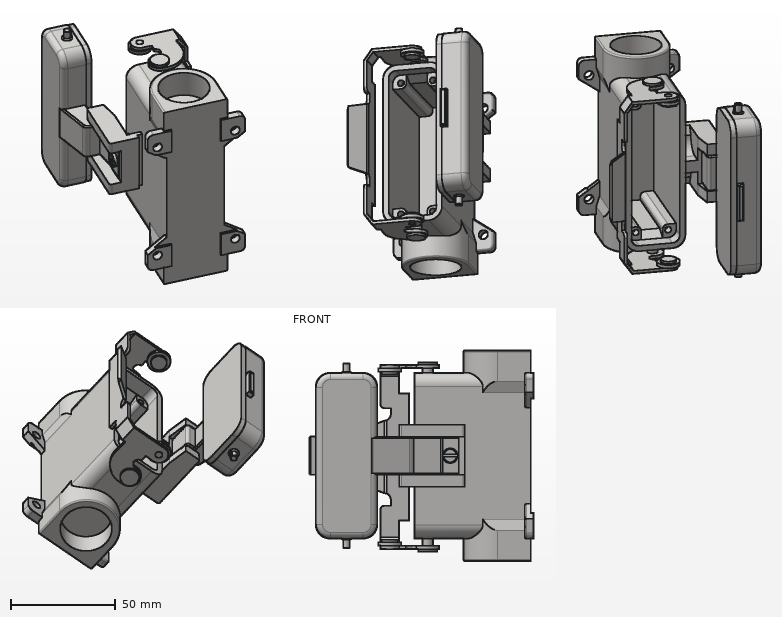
import cadquery as cq
import math


HOUSING_LENGTH = 55.8
HOUSING_HALF_Y = 14.7
HOUSING_HALF_Z = 39.7
HOUSING_CORNER_R = 6.5

MOUTH_WALL = 2.8
MOUTH_HALF_Y = HOUSING_HALF_Y - MOUTH_WALL
MOUTH_HALF_Z = HOUSING_HALF_Z - MOUTH_WALL
MOUTH_CORNER_R = HOUSING_CORNER_R - MOUTH_WALL
CAVITY_DEPTH = 52.6
CAVITY_FLOOR_HALF_Z = 34.2
BOSS_RECESS = 7.5
CAVITY_SLOPE_LENGTH = 5.9
SCREW_BOSS_Y = 6.7
SCREW_BOSS_Z = 6.9
SCREW_BOSS_R = 2.6
SCREW_HOLE_D = 3.0
SCREW_HOLE_DEPTH = 16.1
SCREW_HOLE_Y = 8.0
SCREW_HOLE_Z = 33.0

ENTRY_X = -16.0
ENTRY_R = 16.3
ENTRY_TOP_Z = 50.5
ENTRY_FOOT_Z = 30.4
ENTRY_SLOPE_TOP_Z = 35.7
ENTRY_RIM_R = 0.8
ENTRY_BORE_D = 24.7
ENTRY_BORE_DEPTH = 13.1

FOOT_FRONT_X = -2.9
FOOT_BACK_X = 1.3
FOOT_OUTER_Y = 24.9
FOOT_SIDE_Z = 30.3
FOOT_ROOT_Z = 23.1
FOOT_CORNER_R = 2.8
FOOT_EDGE_R = 0.8
FOOT_PAD_INNER_Y = 12.6
FOOT_PAD_LOW_Z = 27.4
FOOT_HOLE_D = 4.5
FOOT_HOLE_Y = 19.9
FOOT_HOLE_Z = 31.8

LEVER_SHIFT_Z = -0.59
SHEET = 1.6
LEVER_LEFT_X = -72.2
LEVER_RIGHT_X = -63.2
LEVER_OUTER_Y = 19.5
LEVER_OUTER_Z = 44.1
LEVER_INNER_Y = LEVER_OUTER_Y - SHEET
LEVER_INNER_Z = LEVER_OUTER_Z - SHEET
BEVEL_Y = 4.1
BEVEL_Z = 5.6
BEVEL_INSET = 0.6
PLATE_WIDE_X = -58.3
PLATE_WIDE_Z = 30.5
NOTCH_X = -67.1
NOTCH_Z = 23.3
NOTCH_CORNER_R = 2.0
TONGUE_FOLD_X = -69.0
NECK_Z = 20.5
NECK_BULGE = 0.4
TONGUE_ROOT_Z = 17.6
TONGUE_END_Z = 15.4
TONGUE_LENGTH = 9.2
TONGUE_ANGLE = 55.0
TONGUE_TIP_Y = 27.2
TONGUE_CORNER = 1.9
PIVOT_X = -49.4
PIVOT_ARM_R = 5.5
PIVOT_PIN_R = 2.6
PIVOT_CAP_R = 4.6
PIVOT_CAP_TOP_Z = 45.3
ROLLER_X = (LEVER_LEFT_X + LEVER_RIGHT_X) / 2
ROLLER_Y = -3.3
ROLLER_R = 5.6
ROLLER_LOW_Z = 40.8
ROLLER_NECK_R = 3.9
ROLLER_NECK_LOW_Z = 39.6
RIVET_R = 1.7
RIVET_RISE = 0.1
ARM_SHOULDER_Y = 13.6
ARM_BEND_TOP_Y = 14.0
ARM_BEND_R = 11.9
ARM_STEP_X = -59.9
ARM_STEP_Y = 1.2
ARM_RELIEF_R = 2.4

BLOCK_LEFT_X = -63.2
BLOCK_RIGHT_X = -31.7
BLOCK_HALF_Z = 14.9
BLOCK_OUTER_Y = -32.1
BLOCK_INNER_Y = -21.6
BLOCK_TIP_Y = -23.5
BLOCK_END_R = 1.0
STEM_LEFT_X = -52.6
STEM_ARC_X = -46.2
STEM_WALL_X = -36.0
STEM_RIGHT_X = -33.8
STEM_HALF_Z = 3.0
STEM_ARC_R = 7.7
STEM_SHOULDER_Y = -17.1
SLOT_HALF_Z = 9.1
SLOT_FLOOR_Y = -26.2

ARM_EDGE = 0.8
ARM_TOP_Y = -28.4
ARM_HEEL_X = -64.2
ARM_HEEL_R = 1.6
ARM_START_X = -76.3
ARM_KNEE_X = -56.2
ARM_KNEE_Y = -35.4
ARM_KNEE_R = 3.0
ARM_HOLLOW_Y = -28.1
ARM_END_X = -34.6
LAND_X = -42.3
LAND_Y = -26.7
LAND_STEP = 0.9
SCREW_X = -38.7
SCREW_R = 3.5
SCREW_HEIGHT = 2.1
SCREW_CHAMFER = 0.4
SCREW_SLOT_WIDTH = 1.2
SCREW_SLOT_DEPTH = 1.1

COVER_LEFT_X = -103.1
COVER_RIGHT_X = -73.6
COVER_MID_X = (COVER_LEFT_X + COVER_RIGHT_X) / 2
COVER_HALF_Z = 39.7
COVER_OUTER_Y = -41.1
COVER_SEAM_Y = -28.4
COVER_RIM_Y = -25.6
COVER_RIM_INSET = 0.2
COVER_CORNER_R = 6.9
COVER_EDGE_R = 3.1
TAB_LEFT_X = -106.1
TAB_HALF_Z = 9.2
TAB_LOW_Y = -31.4
TAB_EDGE = 0.6
COVER_PIN_Y = -32.8
COVER_PIN_R = 1.6
COVER_PIN_TOP_Z = 44.2
COVER_PIN_CHAMFER = 0.2
COVER_PIN_COLLAR_R = 2.6
COVER_PIN_COLLAR_HEIGHT = 0.5
COVER_PIN_RIB_WIDTH = 1.1
COVER_PIN_RIB_BASE = 2.5

OVERLAP = 1.1


def box(x0, x1, y0, y1, z0, z1):
    return cq.Workplane("XY").box(x1 - x0, y1 - y0, z1 - z0, centered=False).translate((x0, y0, z0))


def disc(x, y, radius, z0, z1):
    return cq.Workplane("XY").workplane(offset=z0).center(x, y).circle(radius).extrude(z1 - z0)


def prism_z(points, z0, z1):
    return cq.Workplane("XY").workplane(offset=z0).polyline(points).close().extrude(z1 - z0)


def prism_x(points, x0, x1):
    return cq.Workplane("YZ").workplane(offset=x0).polyline(points).close().extrude(x1 - x0)


def with_z_mirror(solid):
    return solid.union(solid.mirror("XY"))


def housing():
    body = box(
        -HOUSING_LENGTH, 0, -HOUSING_HALF_Y, HOUSING_HALF_Y, -HOUSING_HALF_Z, HOUSING_HALF_Z
    )
    return body.edges("|X").fillet(HOUSING_CORNER_R)


def mouth_cavity():
    """Cavity whose end walls step inward on a slope, with a recessed screw boss in each corner."""
    floor_x = CAVITY_DEPTH - HOUSING_LENGTH
    boss_x = BOSS_RECESS - HOUSING_LENGTH
    slope_end_x = boss_x + CAVITY_SLOPE_LENGTH
    half_profile = [
        (-HOUSING_LENGTH, MOUTH_HALF_Z),
        (boss_x, MOUTH_HALF_Z),
        (slope_end_x, CAVITY_FLOOR_HALF_Z),
        (floor_x, CAVITY_FLOOR_HALF_Z),
    ]
    profile = half_profile + [(x, -z) for x, z in reversed(half_profile)]
    stepped = cq.Workplane("XZ").polyline(profile).close().extrude(MOUTH_HALF_Y, both=True)
    opening = box(
        -HOUSING_LENGTH, floor_x, -MOUTH_HALF_Y, MOUTH_HALF_Y, -MOUTH_HALF_Z, MOUTH_HALF_Z
    )
    opening = opening.edges("|X").fillet(MOUTH_CORNER_R)
    boss = box(
        boss_x,
        floor_x,
        MOUTH_HALF_Y - SCREW_BOSS_Y,
        HOUSING_HALF_Y,
        MOUTH_HALF_Z - SCREW_BOSS_Z,
        HOUSING_HALF_Z,
    )
    boss = boss.edges("|X and <Y and <Z").fillet(SCREW_BOSS_R)
    hole = (
        cq.Workplane("YZ")
        .workplane(offset=boss_x)
        .center(SCREW_HOLE_Y, SCREW_HOLE_Z)
        .circle(SCREW_HOLE_D / 2)
        .extrude(SCREW_HOLE_DEPTH)
    )
    boss = boss.cut(hole)
    bosses = with_z_mirror(boss.union(boss.mirror("XZ")))
    return stepped.intersect(opening).cut(bosses)


def cable_entry():
    """D-shaped neck whose wider flanks slope down to the housing sides."""
    neck = (
        cq.Workplane("XY")
        .workplane(offset=ENTRY_FOOT_Z)
        .moveTo(0, ENTRY_R)
        .lineTo(ENTRY_X, ENTRY_R)
        .threePointArc((ENTRY_X - ENTRY_R, 0), (ENTRY_X, -ENTRY_R))
        .lineTo(0, -ENTRY_R)
        .close()
        .extrude(ENTRY_TOP_Z - ENTRY_FOOT_Z)
    )
    neck = neck.faces(">Z").edges("not >X").fillet(ENTRY_RIM_R)
    flanks = prism_x(
        [
            (HOUSING_HALF_Y, ENTRY_FOOT_Z),
            (ENTRY_R, ENTRY_SLOPE_TOP_Z),
            (ENTRY_R, ENTRY_TOP_Z),
            (-ENTRY_R, ENTRY_TOP_Z),
            (-ENTRY_R, ENTRY_SLOPE_TOP_Z),
            (-HOUSING_HALF_Y, ENTRY_FOOT_Z),
        ],
        ENTRY_X - ENTRY_R,
        0,
    )
    return neck.intersect(flanks)


def entry_bore():
    return disc(ENTRY_X, 0, ENTRY_BORE_D / 2, ENTRY_TOP_Z - ENTRY_BORE_DEPTH, ENTRY_TOP_Z)


def mounting_foot(rounded):
    """Upper foot on the +Y side; its -X edge is rounded if asked for."""
    outline = [
        (HOUSING_HALF_Y - OVERLAP, HOUSING_HALF_Z),
        (FOOT_OUTER_Y, HOUSING_HALF_Z),
        (FOOT_OUTER_Y, FOOT_SIDE_Z),
        (HOUSING_HALF_Y, FOOT_ROOT_Z),
        (HOUSING_HALF_Y - OVERLAP, FOOT_ROOT_Z),
    ]
    foot = prism_x(outline, FOOT_FRONT_X, FOOT_BACK_X)
    foot = foot.edges("|X and >Y").edges(">Z").fillet(FOOT_CORNER_R)
    if rounded:
        foot = foot.faces("<X").edges("not <Y").fillet(FOOT_EDGE_R)
    below_pad = box(0, FOOT_BACK_X, 0, FOOT_OUTER_Y, 0, FOOT_PAD_LOW_Z)
    pad_root = box(
        0, FOOT_BACK_X, FOOT_PAD_INNER_Y, HOUSING_HALF_Y, FOOT_PAD_LOW_Z, HOUSING_HALF_Z
    )
    hole = (
        cq.Workplane("YZ")
        .workplane(offset=FOOT_FRONT_X)
        .center(FOOT_HOLE_Y, FOOT_HOLE_Z)
        .circle(FOOT_HOLE_D / 2)
        .extrude(FOOT_BACK_X - FOOT_FRONT_X)
    )
    return foot.cut(below_pad).union(pad_root).cut(hole)


def lever_arm():
    """Upper side arm: hooked around the pivot on one end, holding the roller on the other."""
    bend_x = PIVOT_X + PIVOT_ARM_R - ARM_BEND_R
    bend_y = ARM_BEND_TOP_Y - ARM_BEND_R
    diagonal = ARM_BEND_R * math.sqrt(0.5)
    pivot_left_x = PIVOT_X - PIVOT_ARM_R
    relief_x = ARM_STEP_X + ARM_RELIEF_R
    relief_diagonal = ARM_RELIEF_R * math.sqrt(0.5)
    return (
        cq.Workplane("XY")
        .workplane(offset=LEVER_INNER_Z)
        .moveTo(LEVER_LEFT_X, LEVER_OUTER_Y - BEVEL_Y)
        .lineTo(LEVER_RIGHT_X, LEVER_OUTER_Y - BEVEL_Y)
        .lineTo(LEVER_RIGHT_X, ARM_SHOULDER_Y)
        .lineTo(bend_x, ARM_BEND_TOP_Y)
        .threePointArc(
            (bend_x + diagonal, bend_y + diagonal), (PIVOT_X + PIVOT_ARM_R, bend_y)
        )
        .lineTo(PIVOT_X + PIVOT_ARM_R, 0)
        .threePointArc((PIVOT_X, -PIVOT_ARM_R), (pivot_left_x, 0))
        .lineTo(pivot_left_x, ARM_STEP_Y)
        .threePointArc(
            (pivot_left_x - ARM_RELIEF_R + relief_diagonal, ARM_STEP_Y + relief_diagonal),
            (pivot_left_x - ARM_RELIEF_R, ARM_STEP_Y + ARM_RELIEF_R),
        )
        .lineTo(relief_x, ARM_STEP_Y + ARM_RELIEF_R)
        .threePointArc(
            (relief_x - relief_diagonal, ARM_STEP_Y + relief_diagonal), (ARM_STEP_X, ARM_STEP_Y)
        )
        .lineTo(LEVER_RIGHT_X, ARM_STEP_Y)
        .lineTo(LEVER_RIGHT_X, ROLLER_Y)
        .threePointArc(
            (ROLLER_X, ROLLER_Y - (LEVER_RIGHT_X - LEVER_LEFT_X) / 2), (LEVER_LEFT_X, ROLLER_Y)
        )
        .close()
        .extrude(SHEET)
    )


def lever_bevel():
    """Sloping sheet between the upper arm and the plate."""
    return prism_x(
        [
            (LEVER_OUTER_Y - BEVEL_Y, LEVER_OUTER_Z),
            (LEVER_OUTER_Y, LEVER_OUTER_Z - BEVEL_Z),
            (LEVER_INNER_Y, LEVER_OUTER_Z - BEVEL_Z),
            (LEVER_OUTER_Y - BEVEL_Y - BEVEL_INSET, LEVER_INNER_Z),
            (LEVER_OUTER_Y - BEVEL_Y - BEVEL_INSET, LEVER_OUTER_Z),
        ],
        LEVER_LEFT_X,
        LEVER_RIGHT_X,
    )


def lever_half_plate():
    """Upper half of the plate, notched beside the tongue."""
    notch_diagonal = NOTCH_CORNER_R * math.sqrt(0.5)
    corner_x = LEVER_LEFT_X + NOTCH_CORNER_R
    corner_z = NOTCH_Z + NOTCH_CORNER_R
    neck_mid = (NOTCH_X - NECK_BULGE, (NECK_Z + TONGUE_ROOT_Z) / 2)
    return (
        cq.Workplane("XZ", origin=(0, LEVER_OUTER_Y, 0))
        .moveTo(TONGUE_FOLD_X, 0)
        .lineTo(PLATE_WIDE_X, 0)
        .lineTo(PLATE_WIDE_X, PLATE_WIDE_Z)
        .lineTo(LEVER_RIGHT_X, PLATE_WIDE_Z)
        .lineTo(LEVER_RIGHT_X, LEVER_OUTER_Z - BEVEL_Z)
        .lineTo(LEVER_LEFT_X, LEVER_OUTER_Z - BEVEL_Z)
        .lineTo(LEVER_LEFT_X, corner_z)
        .threePointArc(
            (corner_x - notch_diagonal, corner_z - notch_diagonal), (corner_x, NOTCH_Z)
        )
        .lineTo(NOTCH_X, NOTCH_Z)
        .lineTo(NOTCH_X, NECK_Z)
        .threePointArc(neck_mid, (TONGUE_FOLD_X, TONGUE_ROOT_Z))
        .close()
        .extrude(SHEET)
    )


def lever_tongue():
    """Finger tongue folded outward from the plate, narrowing to its tip."""
    angle = math.radians(TONGUE_ANGLE)
    along = (-math.cos(angle), math.sin(angle))
    across = (-math.sin(angle), -math.cos(angle))
    tip_x = TONGUE_FOLD_X + TONGUE_LENGTH * along[0]
    tip_inner = (tip_x + SHEET * across[0], TONGUE_TIP_Y + SHEET * across[1])
    fold_y = TONGUE_TIP_Y - TONGUE_LENGTH * along[1]
    fold_inner = (TONGUE_FOLD_X + SHEET * across[0], fold_y + SHEET * across[1])
    sheet = prism_z(
        [
            (TONGUE_FOLD_X, LEVER_INNER_Y),
            (TONGUE_FOLD_X + OVERLAP, LEVER_INNER_Y),
            (TONGUE_FOLD_X, fold_y),
            (tip_x, TONGUE_TIP_Y),
            tip_inner,
            fold_inner,
        ],
        -TONGUE_ROOT_Z,
        TONGUE_ROOT_Z,
    )
    half_width = [
        (LEVER_INNER_Y - OVERLAP, TONGUE_ROOT_Z),
        (LEVER_INNER_Y, TONGUE_ROOT_Z),
        (TONGUE_TIP_Y - TONGUE_CORNER / 2, TONGUE_END_Z),
        (TONGUE_TIP_Y, TONGUE_END_Z - TONGUE_CORNER),
    ]
    outline = half_width + [(y, -z) for y, z in reversed(half_width)]
    return sheet.intersect(prism_x(outline, tip_inner[0], TONGUE_FOLD_X + OVERLAP))


def lever_pins():
    """Upper pivot pin with its cap, and the roller with its neck and rivet."""
    return (
        disc(PIVOT_X, 0, PIVOT_PIN_R, HOUSING_HALF_Z - OVERLAP, LEVER_OUTER_Z)
        .union(disc(PIVOT_X, 0, PIVOT_CAP_R, LEVER_OUTER_Z, PIVOT_CAP_TOP_Z))
        .union(disc(ROLLER_X, ROLLER_Y, ROLLER_R, ROLLER_LOW_Z, LEVER_INNER_Z))
        .union(disc(ROLLER_X, ROLLER_Y, ROLLER_NECK_R, ROLLER_NECK_LOW_Z, ROLLER_LOW_Z))
        .union(disc(ROLLER_X, ROLLER_Y, RIVET_R, LEVER_OUTER_Z, LEVER_OUTER_Z + RIVET_RISE))
    )


def locking_lever():
    half = lever_arm().union(lever_bevel()).union(lever_half_plate()).union(lever_pins())
    lever = with_z_mirror(half).union(lever_tongue())
    return lever.translate((0, 0, LEVER_SHIFT_Z))


def hinge_block():
    """Two bars on a plate, standing on a stem that flares toward +X."""
    bars = prism_z(
        [
            (BLOCK_LEFT_X, BLOCK_OUTER_Y),
            (BLOCK_RIGHT_X, BLOCK_OUTER_Y),
            (BLOCK_RIGHT_X, STEM_SHOULDER_Y),
            (STEM_WALL_X, STEM_SHOULDER_Y),
            (STEM_WALL_X, BLOCK_INNER_Y),
            (STEM_LEFT_X, BLOCK_INNER_Y),
            (BLOCK_LEFT_X, BLOCK_TIP_Y),
        ],
        -BLOCK_HALF_Z,
        BLOCK_HALF_Z,
    )
    bars = bars.edges("|Z and <Y").fillet(BLOCK_END_R)
    slot = box(
        BLOCK_LEFT_X, BLOCK_RIGHT_X, BLOCK_OUTER_Y, SLOT_FLOOR_Y, -SLOT_HALF_Z, SLOT_HALF_Z
    )
    slot_mouth = box(
        BLOCK_LEFT_X, STEM_LEFT_X, BLOCK_OUTER_Y, BLOCK_INNER_Y, -SLOT_HALF_Z, SLOT_HALF_Z
    )
    arc_diagonal = STEM_ARC_R * math.sqrt(0.5)
    half_stem = (
        cq.Workplane("XZ", origin=(0, BLOCK_INNER_Y, 0))
        .moveTo(STEM_LEFT_X, 0)
        .lineTo(STEM_LEFT_X, STEM_HALF_Z)
        .lineTo(STEM_ARC_X, STEM_HALF_Z)
        .threePointArc(
            (STEM_ARC_X + arc_diagonal, STEM_HALF_Z + STEM_ARC_R - arc_diagonal),
            (STEM_ARC_X + STEM_ARC_R, STEM_HALF_Z + STEM_ARC_R),
        )
        .lineTo(STEM_WALL_X, BLOCK_HALF_Z)
        .lineTo(STEM_RIGHT_X, BLOCK_HALF_Z)
        .lineTo(STEM_RIGHT_X, 0)
        .close()
        .extrude(BLOCK_INNER_Y + HOUSING_HALF_Y - OVERLAP)
    )
    return bars.cut(slot).cut(slot_mouth).union(with_z_mirror(half_stem))


def hinge_arm():
    """Arm from the cover into the slot of the block, ending in a flat land for the screw."""
    knee = (ARM_KNEE_X, ARM_KNEE_Y)
    heel = (ARM_HEEL_X, BLOCK_TIP_Y)
    profile = [
        (ARM_START_X, ARM_TOP_Y),
        (ARM_HEEL_X, ARM_TOP_Y),
        heel,
        (STEM_LEFT_X, BLOCK_TIP_Y),
        (STEM_LEFT_X, BLOCK_INNER_Y),
        (ARM_END_X, BLOCK_INNER_Y),
        (ARM_END_X, LAND_Y),
        (LAND_X, LAND_Y),
        (LAND_X - LAND_STEP, SLOT_FLOOR_Y),
        (ARM_KNEE_X, ARM_HOLLOW_Y),
        knee,
        (ARM_START_X, COVER_OUTER_Y),
    ]
    arm = prism_z(profile, -SLOT_HALF_Z, SLOT_HALF_Z)
    arm = arm.edges(cq.selectors.NearestToPointSelector((*knee, 0))).fillet(ARM_KNEE_R)
    arm = arm.edges(cq.selectors.NearestToPointSelector((*heel, 0))).fillet(ARM_HEEL_R)
    return arm.faces("<Z or >Z").chamfer(ARM_EDGE)


def hinge_screw():
    """Slotted screw head on the land of the hinge arm."""
    head = (
        cq.Workplane("XZ", origin=(SCREW_X, LAND_Y, 0))
        .circle(SCREW_R)
        .extrude(SCREW_HEIGHT)
        .faces("<Y")
        .chamfer(SCREW_CHAMFER)
    )
    head_y = LAND_Y - SCREW_HEIGHT
    slot = box(
        SCREW_X - SCREW_R,
        SCREW_X + SCREW_R,
        head_y,
        head_y + SCREW_SLOT_DEPTH,
        -SCREW_SLOT_WIDTH / 2,
        SCREW_SLOT_WIDTH / 2,
    )
    return head.cut(slot)


def cover_pin():
    """Upper cord pin with a conical collar and a tapering rib on its +Y side."""
    base = cq.Workplane("XY", origin=(COVER_MID_X, COVER_PIN_Y, COVER_HALF_Z))
    height = COVER_PIN_TOP_Z - COVER_HALF_Z
    pin = base.circle(COVER_PIN_R).extrude(height).faces(">Z").chamfer(COVER_PIN_CHAMFER)
    collar = (
        base.circle(COVER_PIN_COLLAR_R)
        .workplane(offset=COVER_PIN_COLLAR_HEIGHT)
        .circle(COVER_PIN_R)
        .loft()
    )
    rib = prism_x(
        [
            (COVER_PIN_Y, COVER_HALF_Z),
            (COVER_PIN_Y + COVER_PIN_RIB_BASE, COVER_HALF_Z),
            (COVER_PIN_Y + COVER_PIN_R, COVER_PIN_TOP_Z),
            (COVER_PIN_Y, COVER_PIN_TOP_Z),
        ],
        COVER_MID_X - COVER_PIN_RIB_WIDTH / 2,
        COVER_MID_X + COVER_PIN_RIB_WIDTH / 2,
    )
    return pin.union(collar).union(rib)


def cover():
    """Rounded cap with a slightly set-back rim, a latch tab and two cord pins."""
    body = box(
        COVER_LEFT_X, COVER_RIGHT_X, COVER_OUTER_Y, COVER_SEAM_Y, -COVER_HALF_Z, COVER_HALF_Z
    )
    body = body.edges("|Y").fillet(COVER_CORNER_R)
    body = body.faces("<Y").edges().fillet(COVER_EDGE_R)
    rim = box(
        COVER_LEFT_X + COVER_RIM_INSET,
        COVER_RIGHT_X - COVER_RIM_INSET,
        COVER_SEAM_Y,
        COVER_RIM_Y,
        -COVER_HALF_Z + COVER_RIM_INSET,
        COVER_HALF_Z - COVER_RIM_INSET,
    )
    rim = rim.edges("|Y").fillet(COVER_CORNER_R - COVER_RIM_INSET)
    tab = box(
        TAB_LEFT_X, COVER_LEFT_X + OVERLAP, TAB_LOW_Y, COVER_SEAM_Y, -TAB_HALF_Z, TAB_HALF_Z
    )
    tab = tab.faces("<X").chamfer(TAB_EDGE)
    return body.union(rim).union(tab).union(with_z_mirror(cover_pin()))


feet = mounting_foot(False).union(mounting_foot(True).mirror("XZ"))
entries_and_feet = with_z_mirror(cable_entry().union(feet))
base = housing().union(entries_and_feet).cut(mouth_cavity()).cut(with_z_mirror(entry_bore()))
closure = hinge_block().union(hinge_arm()).union(hinge_screw()).union(cover())
result = base.union(locking_lever()).union(closure)